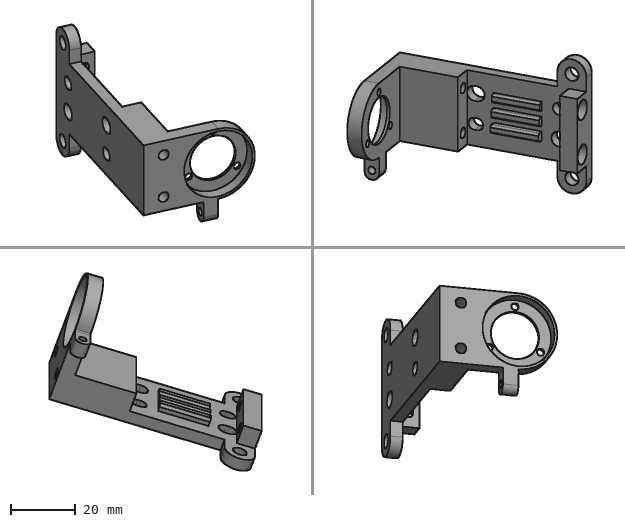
import cadquery as cq
import math

length = 66.0
body_height = 25.0
plate_thickness = 4.0

flange_width = 10.0
flange_height = 45.0
flange_hole_diameter = 4.5

block_top_y = 10.5
left_block_width = 6.0
right_block_start_x = 41.0
screw_y = 6.85
screw_z = 7.5
screw_diameter = 3.4
screw_head_diameter = 6.5
screw_head_depth = 3.5

arm_thickness = 5.0
arm_start_x = length - arm_thickness
arm_radius = body_height / 2
overall_depth = 37.92
motor_y = overall_depth - arm_radius
motor_bore_diameter = 15.5
motor_pocket_diameter = 23.2
motor_pocket_floor = 1.0
motor_screw_diameter = 2.3
motor_screw_circle_radius = 9.5
motor_screw_angles = (90, 210, 330)

lug_depth = 5.0
lug_drop = 7.9
lug_hole_diameter = 2.5
lug_hole_above_end = 3.2
lug_root_fillet = 0.4

slot_centre_x = 23.5
slot_spacing_x = 29.0
slot_spacing_z = 10.2
slot_travel = 1.0
small_slot_width = 4.0
large_slot_width = 5.0

rib_length = 16.5
rib_nose_radius = 1.4
rib_nose_length = 1.0
rib_nose_drop = 0.65
rib_height = 3.0
rib_pitch = 5.0
rib_tips_y = (5.57, 5.97, 6.57)


def box(x_start, x_end, y_start, y_end, height):
    """Box between X and Y limits, centred on Z = 0."""
    return (
        cq.Workplane("XY")
        .box(x_end - x_start, y_end - y_start, height, centered=(False, False, True))
        .translate((x_start, y_start, 0))
    )


def cylinder_x(diameter, x_start, x_end, y, z):
    """Cylinder along X."""
    return (
        cq.Workplane("YZ", origin=(x_start, 0, 0))
        .center(y, z)
        .circle(diameter / 2)
        .extrude(x_end - x_start)
    )


def front_plane(y=0.0):
    """Workplane seen from the front; positive extrusion runs toward -Y."""
    return cq.Workplane("XZ", origin=(0, y, 0))


def make_flange():
    centre_x = flange_width / 2
    hole_spacing = flange_height - flange_width
    flange = (
        front_plane()
        .center(centre_x, 0)
        .slot2D(flange_height, flange_width, 90)
        .extrude(-plate_thickness)
    )
    holes = (
        front_plane()
        .center(centre_x, 0)
        .rarray(1, hole_spacing, 1, 2)
        .circle(flange_hole_diameter / 2)
        .extrude(-plate_thickness)
    )
    return flange, holes


def make_arm():
    straight = box(arm_start_x, length, 0, motor_y, body_height)
    rounded_end = cylinder_x(2 * arm_radius, arm_start_x, length, motor_y, 0)
    return straight.union(rounded_end)


def make_lug():
    """Lug hanging from the arm, with a rounded lower end."""
    end_radius = arm_thickness / 2
    bottom_z = -body_height / 2 - lug_drop
    return (
        front_plane(motor_y)
        .moveTo(arm_start_x, -arm_radius + end_radius)
        .lineTo(arm_start_x, bottom_z + end_radius)
        .threePointArc(
            (arm_start_x + end_radius, bottom_z),
            (length, bottom_z + end_radius),
        )
        .lineTo(length, -arm_radius + end_radius)
        .close()
        .extrude(lug_depth)
    )


def round_lug_roots(body):
    """Fillet the two corners where the lug leaves the underside of the arm."""
    root_z = -body_height / 2
    for root_y in (motor_y, motor_y - lug_depth):
        root = cq.selectors.NearestToPointSelector((length - arm_thickness / 2, root_y, root_z))
        body = body.edges("|X").edges(root).fillet(lug_root_fillet)
    return body


def make_lug_hole():
    hole_z = -body_height / 2 - lug_drop + lug_hole_above_end
    return (
        front_plane(motor_y)
        .center(length - arm_thickness / 2, hole_z)
        .circle(lug_hole_diameter / 2)
        .extrude(lug_depth)
    )


def make_rib(tip_y, z):
    """Bar along X whose nose curves in from both sides to a flat tip."""
    nose_y = tip_y - rib_nose_length
    half_height = rib_height / 2
    half_tip = half_height - rib_nose_drop
    return (
        cq.Workplane("YZ", origin=(slot_centre_x - rib_length / 2, 0, z))
        .moveTo(0, half_height)
        .lineTo(nose_y, half_height)
        .radiusArc((tip_y, half_tip), rib_nose_radius)
        .lineTo(tip_y, -half_tip)
        .radiusArc((nose_y, -half_height), rib_nose_radius)
        .lineTo(0, -half_height)
        .close()
        .extrude(rib_length)
    )


def cut_motor_mount(body):
    bore = cylinder_x(motor_bore_diameter, arm_start_x, length, motor_y, 0)
    pocket = cylinder_x(motor_pocket_diameter, arm_start_x + motor_pocket_floor, length, motor_y, 0)
    body = body.cut(bore).cut(pocket)
    for angle in motor_screw_angles:
        y = motor_y + motor_screw_circle_radius * math.cos(math.radians(angle))
        z = motor_screw_circle_radius * math.sin(math.radians(angle))
        body = body.cut(cylinder_x(motor_screw_diameter, arm_start_x, length, y, z))
    return body


def cut_block_screws(body):
    for z in (-screw_z, screw_z):
        body = body.cut(cylinder_x(screw_diameter, 0, length, screw_y, z))
        body = body.cut(cylinder_x(screw_head_diameter, 0, screw_head_depth, screw_y, z))
    return body


def cut_slots(body):
    for side_x in (-1, 1):
        for side_z in (-1, 1):
            width = large_slot_width if side_x == side_z else small_slot_width
            slot = (
                front_plane()
                .center(
                    slot_centre_x + side_x * slot_spacing_x / 2,
                    side_z * slot_spacing_z / 2,
                )
                .slot2D(width + slot_travel, width)
                .extrude(-block_top_y)
            )
            body = body.cut(slot)
    return body


flange, flange_holes = make_flange()
body = (
    box(0, length, 0, plate_thickness, body_height)
    .union(box(0, left_block_width, 0, block_top_y, body_height))
    .union(box(right_block_start_x, length, 0, block_top_y, body_height))
    .union(make_arm())
    .union(flange)
    .cut(flange_holes)
)
body = body.union(make_lug())
body = round_lug_roots(body)

top_rib_z = rib_pitch * (len(rib_tips_y) - 1) / 2
for index, tip_y in enumerate(rib_tips_y):
    body = body.union(make_rib(tip_y, top_rib_z - index * rib_pitch))

body = cut_motor_mount(body)
body = cut_block_screws(body)
body = cut_slots(body)
result = body.cut(make_lug_hole())